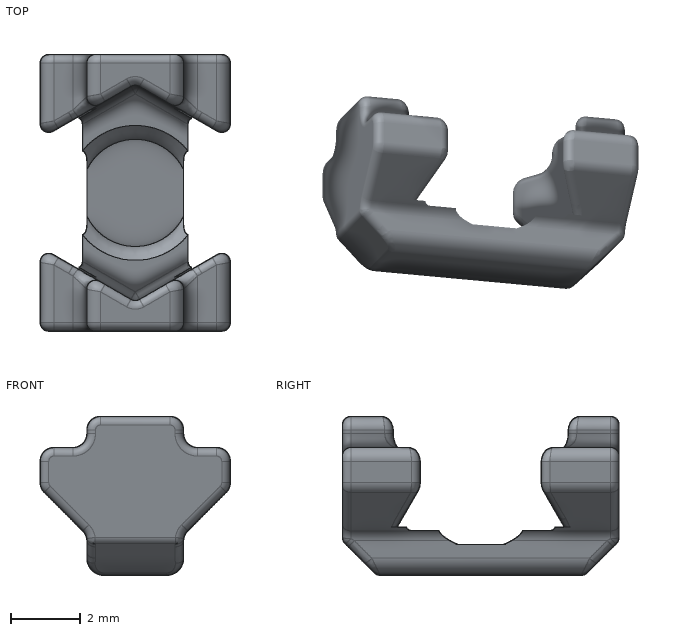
import cadquery as cq
import math

length = 8.0
height = 4.6
wing_width = 5.5

spine_width = 2.8
shoulder_z = 3.7
wing_bottom_z = 2.52
outline_radius = 0.4
keel_radius = 0.5

end_chamfer = 1.0
edge_radius = 0.25

floor_z = 1.3
gap_apex_y = 3.15
gap_angle = 30
sill_rise = 0.1

recess_z = 0.9
recess_bottom_radius = 1.55

half_length = length / 2
half_spine = spine_width / 2
half_wing = wing_width / 2
flank_bottom_z = wing_bottom_z - (half_wing - half_spine)
recess_top_radius = recess_bottom_radius + (floor_z - recess_z)
clearance = 1.0
tolerance = 0.01


def make_bar():
    """Winged cross-section run along Y, with its long edges rounded."""
    right_side = [
        (half_spine, 0),
        (half_spine, flank_bottom_z),
        (half_wing, wing_bottom_z),
        (half_wing, shoulder_z),
        (half_spine, shoulder_z),
        (half_spine, height),
    ]
    left_side = [(-x, z) for x, z in reversed(right_side)]
    bar = (
        cq.Workplane("XZ")
        .polyline(right_side + left_side)
        .close()
        .extrude(half_length, both=True)
    )
    bar = bar.faces("<Z").edges("|Y").fillet(keel_radius)
    above_keel = cq.selectors.BoxSelector(
        (-wing_width, -length, keel_radius + tolerance),
        (wing_width, length, height + clearance),
    )
    return bar.edges("|Y").edges(above_keel).fillet(outline_radius)


def chamfer_ends(bar):
    """Cut the underside of both ends away at 45 degrees."""
    outer_y = -half_length - clearance
    inner_y = -half_length + end_chamfer + clearance
    wedge = (
        cq.Workplane("YZ")
        .polyline([
            (outer_y, end_chamfer + clearance),
            (outer_y, -clearance),
            (inner_y, -clearance),
        ])
        .close()
        .extrude(wing_width, both=True)
    )
    return bar.cut(wedge).cut(wedge.mirror("XZ"))


def round_ends(body):
    """Round every edge of the end faces and of the end chamfers."""
    end_start = half_length - end_chamfer - tolerance

    def lies_in_an_end(edge):
        box = edge.BoundingBox()
        return box.ymin > end_start or box.ymax < -end_start

    end_edges = [edge for edge in body.edges().vals() if lies_in_an_end(edge)]
    return body.newObject(end_edges).fillet(edge_radius)


def make_gap():
    """Space between the jaws, with rounded floor edges and V apexes."""
    reach = half_wing + clearance
    reach_y = gap_apex_y - reach * math.tan(math.radians(gap_angle))
    gap = (
        cq.Workplane("XY", origin=(0, 0, floor_z))
        .polyline([
            (0, gap_apex_y),
            (reach, reach_y),
            (reach, -reach_y),
            (0, -gap_apex_y),
            (-reach, -reach_y),
            (-reach, reach_y),
        ])
        .close()
        .extrude(height)
    )
    floor_edges = gap.faces("<Z").edges("not |Y").vals()
    apex_edges = gap.edges("|Z and (<Y or >Y)").vals()
    return gap.newObject(floor_edges + apex_edges).fillet(edge_radius)


def round_jaw_rims(body):
    """Round the outline of the slanted inner faces of the jaws, down to the floor rounding."""
    slant = math.sin(math.radians(gap_angle))

    def is_jaw_face(face):
        normal = face.normalAt()
        upright = abs(normal.z) < tolerance
        return face.geomType() == "PLANE" and upright and abs(abs(normal.x) - slant) < tolerance

    def is_rim(edge):
        box = edge.BoundingBox()
        along_floor = box.zmax < floor_z + edge_radius + tolerance
        along_apex = max(abs(box.xmin), abs(box.xmax)) < edge_radius
        return not along_floor and not along_apex

    jaw_faces = [face for face in body.faces().vals() if is_jaw_face(face)]
    rims = [edge for face in jaw_faces for edge in face.Edges() if is_rim(edge)]
    return body.newObject(rims).fillet(edge_radius)


def make_sill(body):
    """Lower part of the body, where the sides of the floor stay sharp."""
    sill_box = cq.Workplane("XY").box(
        wing_width + clearance, length + clearance, floor_z + sill_rise, centered=(True, True, False)
    )
    return body.intersect(sill_box)


def make_recess():
    """Cone frustum, widening upward to the floor."""
    return (
        cq.Workplane("XY", origin=(0, 0, recess_z))
        .circle(recess_bottom_radius)
        .workplane(offset=floor_z - recess_z)
        .circle(recess_top_radius)
        .loft()
    )


blank = round_ends(chamfer_ends(make_bar()))
gapped = blank.cut(make_gap())
result = round_jaw_rims(gapped).union(make_sill(gapped)).cut(make_recess())